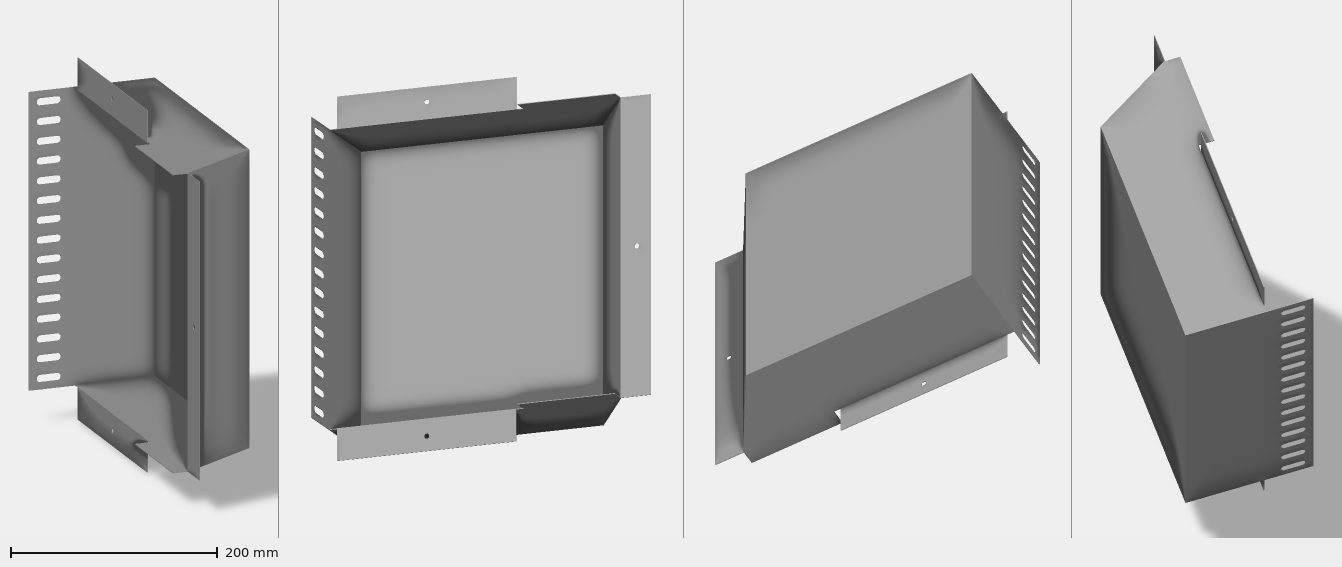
import cadquery as cq

sheet = 0.7
overall_length = 335.5
overall_depth = 131.0
overall_height = 366.5
body_height = 302.5

tab_plane = 47.3
lip_front = 32.0
lip_start = 202.5
slope_start = 253.0
slope_end = 304.3

tab_start = 8.5
tab_length = 186.5
hole_diameter = 5.0
hole_edge_distance = 15.0
tab_hole_x = 102.0

slot_count = 15
slot_row_height = 280.0
slot_length = 25.0
slot_width = 7.5
slot_edge_distance = 8.0

half_height = body_height / 2
plate_edge = tab_plane + sheet
cover_inner = overall_depth - sheet

slope_run = slope_end - slope_start
slope_rise = overall_depth - plate_edge
slope_slant = (slope_run**2 + slope_rise**2) ** 0.5
bend_shift = sheet * (slope_slant - slope_run) / slope_rise
inner_slope_start = slope_start - bend_shift
inner_slope_end = slope_end - bend_shift


def box(x_min, x_max, y_min, y_max, z_min, z_max):
    """Rectangular block between the given limits."""
    size = (x_max - x_min, y_max - y_min, z_max - z_min)
    return cq.Workplane("XY").box(*size, centered=False).translate((x_min, y_min, z_min))


def hole_along_y(x, z):
    """Cutter for a screw hole through a sheet lying in the tab plane."""
    axis = cq.Solid.makeCylinder(
        hole_diameter / 2, 3 * sheet, cq.Vector(x, tab_plane - sheet, z), cq.Vector(0, 1, 0)
    )
    return cq.Workplane(obj=axis)


def make_side_plate(z_min):
    """Flat plate that fits inside the bent cover, with a lip at its front."""
    outline = [
        (0, plate_edge),
        (lip_start, plate_edge),
        (lip_start, lip_front),
        (inner_slope_end, lip_front),
        (inner_slope_end, tab_plane),
        (inner_slope_start, cover_inner),
        (0, cover_inner),
    ]
    return cq.Workplane("XY").workplane(offset=z_min).polyline(outline).close().extrude(sheet)


def make_tab(z_min, z_max, hole_z):
    """Mounting tab turned outwards from a side plate."""
    tab = box(tab_start, tab_start + tab_length, tab_plane, plate_edge, z_min, z_max)
    return tab.cut(hole_along_y(tab_hole_x, hole_z))


def make_end_wall():
    """End wall with a row of ventilation slots."""
    wall = box(0, sheet, 0, cover_inner, -half_height, half_height)
    slots = (
        cq.Workplane("YZ")
        .center(slot_edge_distance + slot_length / 2, 0)
        .rarray(3.5, slot_row_height / (slot_count - 1), 1, slot_count)
        .slot2D(slot_length, slot_width)
        .extrude(sheet)
    )
    return wall.cut(slots)


def make_housing():
    """End wall, two side plates and their mounting tabs as one U-shaped body."""
    inner_face = half_height - sheet
    tab_tip = overall_height / 2
    hole_z = tab_tip - hole_edge_distance
    return (
        make_end_wall()
        .union(make_side_plate(inner_face))
        .union(make_side_plate(-half_height))
        .union(make_tab(inner_face, tab_tip, hole_z))
        .union(make_tab(-tab_tip, -inner_face, -hole_z))
    )


def make_cover():
    """Bent sheet: back panel, sloped panel and mounting flange."""
    section = [
        (0, overall_depth),
        (slope_start, overall_depth),
        (slope_end, plate_edge),
        (overall_length, plate_edge),
        (overall_length, tab_plane),
        (inner_slope_end, tab_plane),
        (inner_slope_start, cover_inner),
        (0, cover_inner),
    ]
    sheet_body = (
        cq.Workplane("XY").workplane(offset=-half_height).polyline(section).close().extrude(body_height)
    )
    return sheet_body.cut(hole_along_y(overall_length - hole_edge_distance, 0))


housing = make_housing()
cover = make_cover()

result = cq.Compound.makeCompound([housing.val(), cover.val()])